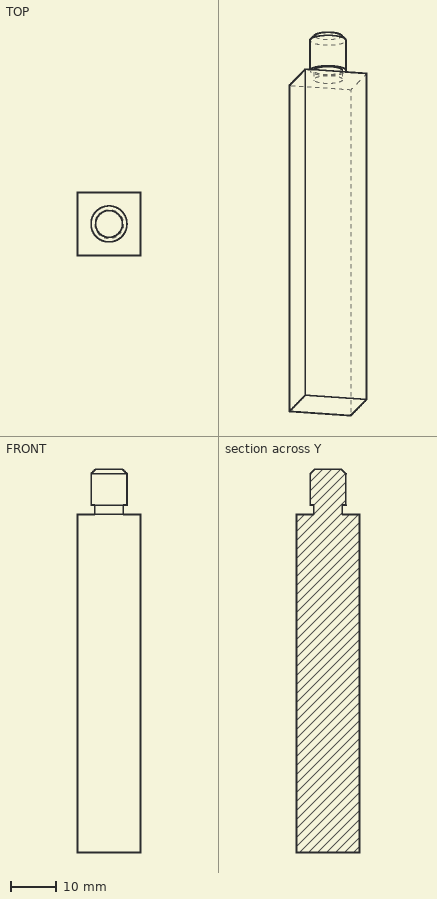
import cadquery as cq

total_height = 85.0
bar_width = 14.0
stud_height = 10.0
stud_diameter = 8.0
neck_diameter = 6.4
neck_height = 2.0
tip_chamfer = 1.0

bar_height = total_height - stud_height
head_height = stud_height - neck_height

bar = cq.Workplane("XY").box(bar_width, bar_width, bar_height, centered=(True, True, False))

neck = cq.Workplane("XY").workplane(offset=bar_height).circle(neck_diameter / 2).extrude(neck_height)

head = (
    cq.Workplane("XY")
    .workplane(offset=bar_height + neck_height)
    .circle(stud_diameter / 2)
    .extrude(head_height)
    .faces(">Z")
    .chamfer(tip_chamfer)
)

result = bar.union(neck).union(head)